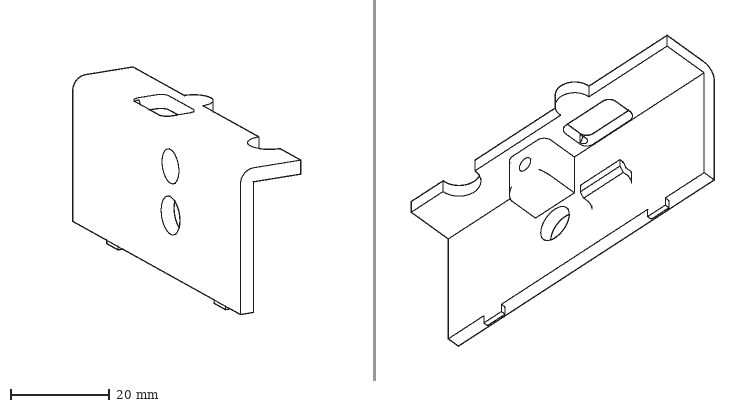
import cadquery as cq

length = 72.0
thickness = 3.0
total_depth = 18.0
plate_height = 30.95
total_height = 33.0

latch_x = 26.0
tongue_radius = 8.0 / 2
shelf_depth = total_depth - tongue_radius
window_width = 14.05
window_front = 3.2
window_back = 11.1
window_radius = 1.9

pin_diameter = 2.3
pin_gap = 12.6
pin_back = 5.05

notch_x = 58.5
notch_radius = 4.5

hole_x = 42.0
screw_z = -7.55
screw_diameter = 3.2
counterbore_diameter = 7.2
counterbore_depth = 4.3
boss_wall = 1.9
boss_back = 11.9
boss_fillet = 1.95
large_hole_z = -18.1
large_hole_diameter = 8.0

hook_width = 11.15
hook_tip = 6.5
hook_barb_top = -16.5
hook_tip_bottom = -18.3
hook_arm_top = -17.6
hook_arm_bottom = -19.4
hook_barb_front = 5.5
hook_barb_foot = 4.7
hook_root_radius = 1.4

tab_width = 5.0
tab_thickness = 1.1
tab_starts = (10.95, 57.0)


def block(x0, x1, y0, y1, z0, z1):
    """Box between the given limits."""
    return cq.Workplane("XY").box(x1 - x0, y1 - y0, z1 - z0, centered=False).translate((x0, y0, z0))


def vertical_cylinder(x, y, radius):
    """Disc filling the thickness of the shelf."""
    return cq.Workplane("XY").center(x, y).circle(radius).extrude(-thickness)


def cylinder_along_y(x, z, diameter, y0, y1):
    """Cylinder running backwards from y0 to y1."""
    return cq.Workplane("XZ", origin=(x, y0, z)).circle(diameter / 2).extrude(y0 - y1)


def bent_plate():
    """L section with a rounded outer bend and a square inner corner."""
    plate = block(0, length, 0, thickness, -plate_height, 0)
    plate = plate.union(block(0, length, 0, shelf_depth, -thickness, 0))
    return plate.edges("|X and <Y and >Z").fillet(thickness)


def window():
    half = window_width / 2
    opening = block(latch_x - half, latch_x + half, window_front, window_back, -thickness, 0)
    return opening.edges("|Z").fillet(window_radius)


def screw_boss():
    """Block behind the plate, rounded along its back and lower back edges."""
    half = counterbore_diameter / 2 + boss_wall
    limits = (hole_x - half, hole_x + half, thickness / 2, boss_back, screw_z - half, -thickness / 2)
    rounded_sides = block(*limits).edges("|Z and >Y").fillet(boss_fillet)
    rounded_bottom = block(*limits).edges("|X and >Y and <Z").fillet(boss_fillet)
    return rounded_sides.intersect(rounded_bottom)


def hook():
    profile = (
        cq.Workplane("YZ", origin=(latch_x - hook_width / 2, 0, 0))
        .moveTo(thickness, hook_arm_top)
        .lineTo(hook_barb_foot, hook_arm_top)
        .lineTo(hook_barb_front, hook_barb_top)
        .lineTo(hook_tip, hook_barb_top)
        .lineTo(hook_tip, hook_tip_bottom)
        .lineTo(hook_barb_front, hook_arm_bottom)
        .lineTo(thickness + hook_root_radius, hook_arm_bottom)
        .radiusArc((thickness, hook_arm_bottom - hook_root_radius), -hook_root_radius)
        .close()
    )
    return profile.extrude(hook_width)


result = bent_plate()
result = result.union(vertical_cylinder(latch_x, shelf_depth, tongue_radius))
result = result.cut(window())
result = result.cut(vertical_cylinder(notch_x, shelf_depth, notch_radius))

for side in (-1, 1):
    pin_x = latch_x + side * (pin_gap + pin_diameter) / 2
    result = result.union(cylinder_along_y(pin_x, -thickness / 2, pin_diameter, thickness, pin_back))

result = result.union(screw_boss()).union(hook())
result = result.cut(cylinder_along_y(hole_x, screw_z, counterbore_diameter, 0, counterbore_depth))
result = result.cut(cylinder_along_y(hole_x, screw_z, screw_diameter, 0, boss_back))
result = result.cut(cylinder_along_y(hole_x, large_hole_z, large_hole_diameter, 0, thickness))

for start in tab_starts:
    tab = block(start, start + tab_width, thickness - tab_thickness, thickness, -total_height, -plate_height)
    result = result.union(tab)